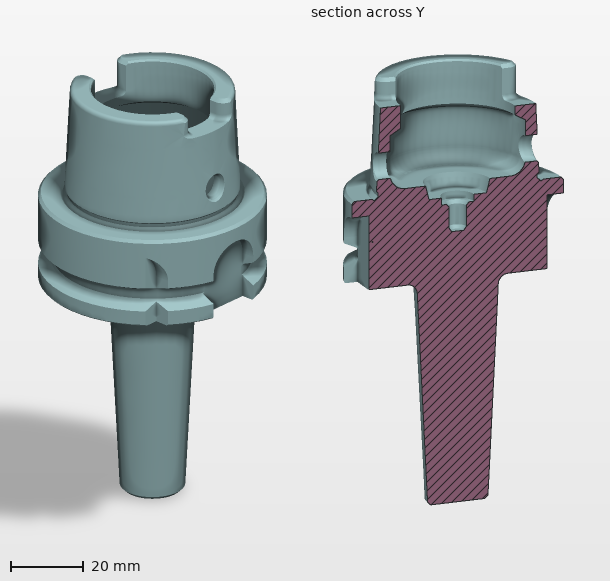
import cadquery as cq
import math


taper_top_z = 32.0
taper_gauge_z = 6.3
taper_gauge_radius = 24.0
taper_slope = 1 / 20
taper_lower_z = 2.0
rim_edge_radius = 1.2
relief_upper_z = 1.5
relief_lower_z = 0.55
relief_radius = 23.7
face_groove_depth = 0.5
face_groove_root_radius = 24.8
face_groove_outer_radius = 25.4

flange_radius = 31.5
flange_thickness = 26.0
flange_top_chamfer = 0.8
flange_bottom_chamfer = 0.4
groove_middle_z = -18.0
groove_mouth_half = 3.5
groove_floor_half = 1.45
groove_floor_radius = 27.5
groove_edge_radius = 28.1
groove_edge_half = 1.95

overall_length = 122.0
nose_tip_z = taper_top_z - overall_length
nose_root_radius = 12.1
nose_root_fillet = 2.8
nose_tip_radius = 9.05
nose_tip_chamfer = 1.0

bore_radius = 17.0
bore_rim_chamfer = 0.5
bore_floor_z = 2.0
undercut_radius = 20.0
undercut_top_z = 19.3
undercut_shoulder_angle = 30.0
bore_floor_radius = 15.7
pocket_radius = 9.5
pocket_floor_radius = 8.5
pocket_depth = 4.0
seat_radius = 4.7
seat_depth = 2.0
pilot_mouth_radius = 3.3
pilot_radius = 2.5
pilot_cone_depth = 1.0
tip_radius = 1.8
tip_cone_depth = 1.0
pilot_depth = 8.0

drive_slot_width = 12.54
drive_slot_depths = {-1: 10.0, 1: 6.0}
drive_corner_radius = 3.0
drive_corner_circle = 23.1
drive_floor_fillet = 1.4
drive_edge_chamfer = 1.0
drive_edge_angle = 45.0

cross_hole_diameter = 7.5
cross_hole_z = 9.2
cross_sink_depth = 0.15

keyway_crown_z = -4.8
keyway_widths = {-1: 18.0, 1: 16.0}
keyway_floor = 26.5
notch_floor_x = 20.0
notch_wall_y = -19.9
notch_round_radius = 8.0
notch_round_z = -12.2
flat_distance = 29.9
flat_angle = 135.0
flat_top_z = -3.6
flat_height = 6.4


def taper_radius(z):
    return taper_gauge_radius - (z - taper_gauge_z) * taper_slope


def revolve(profile):
    return profile.close().revolve(360, (0, 0, 0), (0, 1, 0))


def turned_body():
    flange_bottom_z = -flange_thickness
    nose_root_z = flange_bottom_z - nose_root_fillet
    flare_radius = nose_root_radius + nose_root_fillet
    arc_inset = nose_root_fillet * (1 - math.sqrt(0.5))
    profile = (
        cq.Workplane("XZ")
        .moveTo(0, taper_top_z)
        .lineTo(taper_radius(taper_top_z), taper_top_z)
        .lineTo(taper_radius(taper_lower_z), taper_lower_z)
        .lineTo(relief_radius, relief_upper_z)
        .lineTo(relief_radius, relief_lower_z)
        .lineTo(face_groove_root_radius, -face_groove_depth)
        .lineTo(face_groove_outer_radius, 0)
        .lineTo(flange_radius - flange_top_chamfer, 0)
        .lineTo(flange_radius, -flange_top_chamfer)
        .lineTo(flange_radius, groove_middle_z + groove_mouth_half)
        .lineTo(groove_edge_radius, groove_middle_z + groove_edge_half)
        .lineTo(groove_floor_radius, groove_middle_z + groove_floor_half)
        .lineTo(groove_floor_radius, groove_middle_z - groove_floor_half)
        .lineTo(groove_edge_radius, groove_middle_z - groove_edge_half)
        .lineTo(flange_radius, groove_middle_z - groove_mouth_half)
        .lineTo(flange_radius, flange_bottom_z + flange_bottom_chamfer)
        .lineTo(flange_radius - flange_bottom_chamfer, flange_bottom_z)
        .lineTo(flare_radius, flange_bottom_z)
        .threePointArc(
            (nose_root_radius + arc_inset, flange_bottom_z - arc_inset),
            (nose_root_radius, nose_root_z),
        )
        .lineTo(nose_tip_radius, nose_tip_z + nose_tip_chamfer)
        .lineTo(nose_tip_radius - nose_tip_chamfer, nose_tip_z)
        .lineTo(0, nose_tip_z)
    )
    return revolve(profile).faces(">Z").edges().fillet(rim_edge_radius)


def bore():
    shoulder_width = undercut_radius - bore_radius
    shoulder_height = shoulder_width * math.tan(math.radians(undercut_shoulder_angle))
    floor_fillet = undercut_radius - bore_floor_radius
    arc_inset = floor_fillet * (1 - math.sqrt(0.5))
    pocket_z = bore_floor_z - pocket_depth
    seat_z = pocket_z - seat_depth
    tip_z = seat_z - pilot_depth
    profile = (
        cq.Workplane("XZ")
        .moveTo(0, taper_top_z)
        .lineTo(bore_radius + bore_rim_chamfer, taper_top_z)
        .lineTo(bore_radius, taper_top_z - bore_rim_chamfer)
        .lineTo(bore_radius, undercut_top_z)
        .lineTo(undercut_radius, undercut_top_z - shoulder_height)
        .lineTo(undercut_radius, bore_floor_z + floor_fillet)
        .threePointArc(
            (undercut_radius - arc_inset, bore_floor_z + arc_inset),
            (bore_floor_radius, bore_floor_z),
        )
        .lineTo(pocket_radius, bore_floor_z)
        .lineTo(pocket_floor_radius, pocket_z)
        .lineTo(seat_radius, pocket_z)
        .lineTo(seat_radius, seat_z)
        .lineTo(pilot_mouth_radius, seat_z)
        .lineTo(pilot_radius, seat_z - pilot_cone_depth)
        .lineTo(pilot_radius, tip_z + tip_cone_depth)
        .lineTo(tip_radius, tip_z)
        .lineTo(0, tip_z)
    )
    return revolve(profile)


def drive_slot_outline(side, z):
    """Outline of a rim slot at height z, flaring around the rounded corners beside it."""
    half = drive_slot_width / 2
    radius = drive_corner_radius
    centre_y = half + radius
    corner_angle = math.asin(centre_y / (drive_corner_circle - radius))
    centre_x = (drive_corner_circle - radius) * math.cos(corner_angle)
    middle_angle = (corner_angle - math.pi / 2) / 2
    middle_x = centre_x + radius * math.cos(middle_angle)
    middle_y = centre_y + radius * math.sin(middle_angle)
    end_x = drive_corner_circle * math.cos(corner_angle)
    end_y = drive_corner_circle * math.sin(corner_angle)
    run_out = flange_radius / 2
    far_x = end_x - run_out * math.sin(corner_angle)
    far_y = end_y + run_out * math.cos(corner_angle)
    return (
        cq.Workplane("XY", origin=(0, 0, z))
        .moveTo(0, -half)
        .lineTo(side * centre_x, -half)
        .threePointArc((side * middle_x, -middle_y), (side * end_x, -end_y))
        .lineTo(side * far_x, -far_y)
        .lineTo(side * flange_radius, -far_y)
        .lineTo(side * flange_radius, far_y)
        .lineTo(side * far_x, far_y)
        .lineTo(side * end_x, end_y)
        .threePointArc((side * middle_x, middle_y), (side * centre_x, half))
        .lineTo(0, half)
        .close()
    )


def drive_slot(side):
    depth = drive_slot_depths[side]
    slot = drive_slot_outline(side, taper_top_z - depth).extrude(depth)
    slot = slot.faces("<Z").edges().fillet(drive_floor_fillet)
    chamfer_z = taper_top_z - drive_edge_chamfer
    edge_chamfer = drive_slot_outline(side, chamfer_z).extrude(drive_edge_chamfer, taper=-drive_edge_angle)
    return slot.union(edge_chamfer)


def cross_hole(side):
    """Hole through one wall, with a 45 degree countersink along X."""
    hole_radius = cross_hole_diameter / 2
    sink_start = taper_radius(cross_hole_z + hole_radius) - cross_sink_depth
    sink_depth = taper_radius(taper_lower_z) - sink_start
    hole = (
        cq.Workplane("YZ", origin=(side * bore_floor_radius, 0, cross_hole_z))
        .circle(hole_radius)
        .extrude(side * (flange_radius - bore_floor_radius))
    )
    countersink = cq.Solid.makeCone(
        hole_radius,
        hole_radius + sink_depth,
        sink_depth,
        pnt=cq.Vector(side * sink_start, 0, cross_hole_z),
        dir=cq.Vector(side, 0, 0),
    )
    return hole.union(cq.Workplane(countersink))


def keyway(side):
    """Radial slot with a round upper end, open through the flange's lower face."""
    half = keyway_widths[side] / 2
    round_z = keyway_crown_z - half
    bottom_z = -flange_thickness
    return (
        cq.Workplane("YZ", origin=(side * keyway_floor, 0, 0))
        .moveTo(-half, bottom_z)
        .lineTo(-half, round_z)
        .threePointArc((0, keyway_crown_z), (half, round_z))
        .lineTo(half, bottom_z)
        .close()
        .extrude(side * (flange_radius - keyway_floor))
    )


def edge_notch():
    """Cut across the rim whose wall faces -Y and curves over at its upper end."""
    bottom_z = -flange_thickness
    centre_y = notch_wall_y - notch_round_radius
    diagonal = notch_round_radius * math.sqrt(0.5)
    return (
        cq.Workplane("YZ", origin=(notch_floor_x, 0, 0))
        .moveTo(notch_wall_y, bottom_z)
        .lineTo(notch_wall_y, notch_round_z)
        .threePointArc(
            (centre_y + diagonal, notch_round_z + diagonal),
            (centre_y, notch_round_z + notch_round_radius),
        )
        .lineTo(centre_y, bottom_z)
        .close()
        .extrude(flange_radius - notch_floor_x)
    )


def rim_flat():
    return (
        cq.Workplane("XY", origin=(0, 0, flat_top_z - flat_height))
        .rect(flange_radius, 2 * flange_radius)
        .extrude(flat_height)
        .translate((flat_distance + flange_radius / 2, 0, 0))
        .rotate((0, 0, 0), (0, 0, 1), flat_angle)
    )


result = turned_body().cut(bore())
for x_side in (-1, 1):
    result = result.cut(drive_slot(x_side)).cut(cross_hole(x_side)).cut(keyway(x_side))
result = result.cut(edge_notch()).cut(rim_flat())